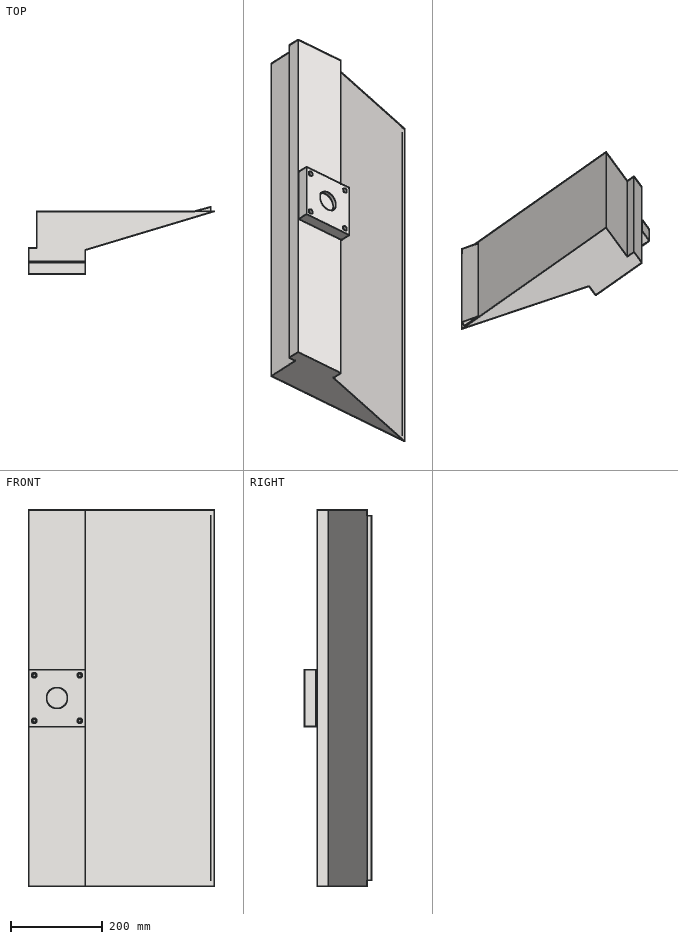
import cadquery as cq


total_width = 408.0
total_depth = 148.0
total_height = 826.0

plate_size = 125.0
plate_thickness = 26.0
plate_gap = 2.0
bore_diameter = 46.0
bore_depth = 9.0
screw_spacing = 100.0
screw_hole_diameter = 7.0
screw_head_diameter = 11.0
screw_head_depth = 10.0

rail_width = plate_size
rail_step = 18.0
rail_thickness = 30.0
slope_start = 25.0

strip_length = 800.0
strip_width = 37.0
strip_height = 10.0
strip_tip_offset = 8.0

rail_front_y = plate_thickness + plate_gap
back_y = total_depth - strip_height
mid_z = total_height / 2
strip_end_x = total_width - strip_tip_offset


def make_housing():
    """Solid wedge with a stepped rail along its front left edge."""
    outline = [
        (0, rail_front_y),
        (rail_width, rail_front_y),
        (rail_width, rail_front_y + slope_start),
        (total_width, back_y),
        (rail_step, back_y),
        (rail_step, rail_front_y + rail_thickness),
        (0, rail_front_y + rail_thickness),
    ]
    return cq.Workplane("XY").polyline(outline).close().extrude(total_height)


def make_mounting_plate():
    """Square plate with a blind central bore and four counterbored screw holes."""
    front = cq.Workplane("XZ", origin=(rail_width / 2, 0, mid_z))
    plate = front.rect(plate_size, plate_size).extrude(-plate_thickness)
    bore = front.circle(bore_diameter / 2).extrude(-bore_depth)
    corners = front.rect(screw_spacing, screw_spacing, forConstruction=True).vertices()
    shanks = corners.circle(screw_hole_diameter / 2).extrude(-plate_thickness)
    heads = corners.circle(screw_head_diameter / 2).extrude(-screw_head_depth)
    return plate.cut(bore).cut(shanks).cut(heads)


def make_back_strip():
    """Triangular strip on the back face, rising towards the tip."""
    outline = [
        (strip_end_x - strip_width, back_y),
        (strip_end_x, back_y),
        (strip_end_x, back_y + strip_height),
    ]
    base = cq.Workplane("XY", origin=(0, 0, (total_height - strip_length) / 2))
    return base.polyline(outline).close().extrude(strip_length)


housing = make_housing()
mounting_plate = make_mounting_plate()
back_strip = make_back_strip()

result = cq.Compound.makeCompound([housing.val(), mounting_plate.val(), back_strip.val()])